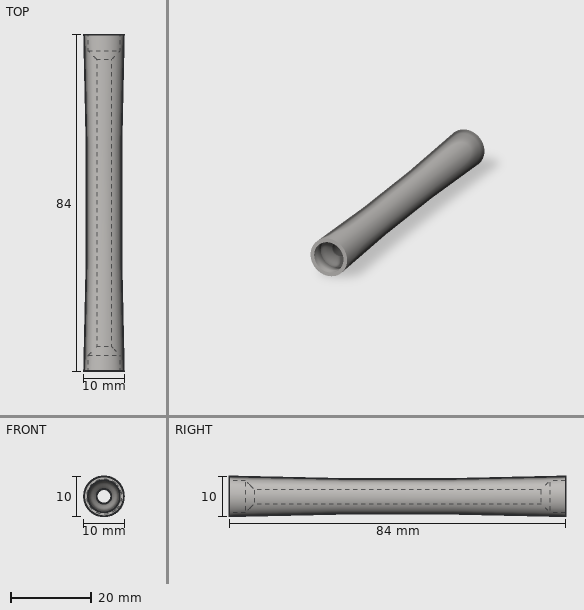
import cadquery as cq

length = 84.0
end_diameter = 10.0
waist_diameter = 8.6

socket_diameter = 8.0
socket_depth = 4.0
through_diameter = 3.6
cone_length = (socket_diameter - through_diameter) / 2

half_length = length / 2


def revolve_about_y(profile):
    """Turn a closed half profile into a solid around the Y axis."""
    return profile.revolve(360, (0, 0, 0), (0, 1, 0))


def make_body():
    """Round bar whose side is one shallow arc, narrowest at mid-length."""
    end_radius = end_diameter / 2
    waist_radius = waist_diameter / 2
    profile = (
        cq.Workplane("XY")
        .moveTo(0, -half_length)
        .lineTo(end_radius, -half_length)
        .threePointArc((waist_radius, 0), (end_radius, half_length))
        .lineTo(0, half_length)
        .close()
    )
    return revolve_about_y(profile)


def make_bore():
    """Through hole that opens, by a cone, into a wider socket at each end."""
    cone_start = half_length - socket_depth
    cone_end = cone_start - cone_length
    socket_radius = socket_diameter / 2
    through_radius = through_diameter / 2
    profile = (
        cq.Workplane("XY")
        .moveTo(0, -half_length)
        .lineTo(socket_radius, -half_length)
        .lineTo(socket_radius, -cone_start)
        .lineTo(through_radius, -cone_end)
        .lineTo(through_radius, cone_end)
        .lineTo(socket_radius, cone_start)
        .lineTo(socket_radius, half_length)
        .lineTo(0, half_length)
        .close()
    )
    return revolve_about_y(profile)


result = make_body().cut(make_bore())